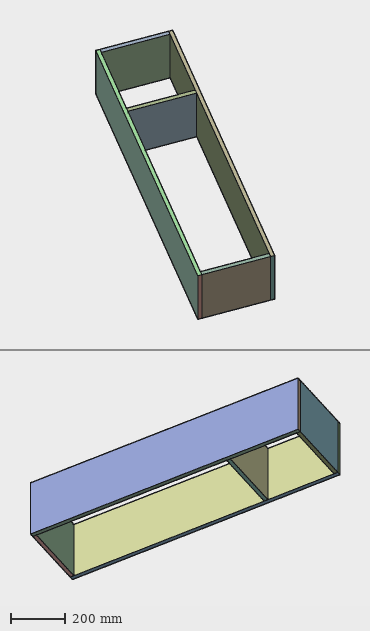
import cadquery as cq

length = 1150.0
width = 300.0
height = 250.0

board = 16.0
divider_start = 300.0

inner_width = width - 2 * board


def make_side_board(y_start):
    """Full-length board standing along X."""
    return cq.Workplane("XY").box(length, board, height, centered=False).translate((0, y_start, 0))


def make_end_board(x_start):
    """Board closing one end, fitted between the side boards."""
    return cq.Workplane("XY").box(board, inner_width, height, centered=False).translate((x_start, board, 0))


def make_divider():
    """Cross board splitting the box into a short and a long bay."""
    return (
        cq.Workplane("XY")
        .box(board, inner_width, height, centered=False)
        .translate((divider_start, board, 0))
    )


side_boards = [make_side_board(y_start) for y_start in (0, width - board)]
end_boards = [make_end_board(x_start) for x_start in (0, length - board)]
divider = make_divider()

result = cq.Compound.makeCompound(
    [body.val() for body in side_boards + end_boards] + [divider.val()]
)